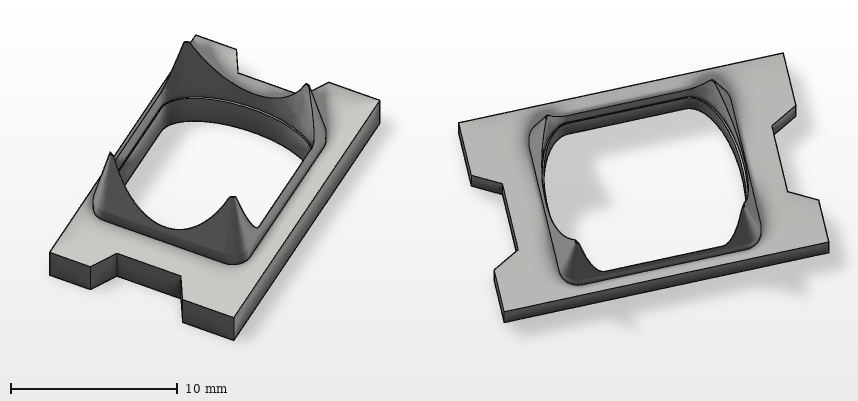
import cadquery as cq
import math

plate_left = -5.81
plate_right = 6.5
plate_length = 19.99
plate_height = 2.0

notch_mouth_width = 6.16
notch_floor_width = 4.28
notch_depth = 1.7

collar_width = 10.36
collar_length = 12.42
collar_corner_radius = 1.17
foot_height = 0.82
total_height = 6.8
crown_inset = 1.0

plate_opening_width = 10.0
plate_opening_length = 11.94
collar_opening_width = 10.14
collar_opening_length = 12.22
opening_side_length = 7.2

crown_base = plate_height + foot_height
crown_height = total_height - crown_base
crown_taper = math.degrees(math.atan2(crown_inset, crown_height))


def make_plate():
    """Flat plate with a notch in the middle of each end."""
    half_length = plate_length / 2
    floor_y = half_length - notch_depth
    plate = (
        cq.Workplane("XY")
        .moveTo(plate_left, -half_length)
        .lineTo(plate_right, -half_length)
        .lineTo(plate_right, half_length)
        .lineTo(plate_left, half_length)
        .close()
        .extrude(plate_height)
    )
    for end in (-1, 1):
        notch = (
            cq.Workplane("XY")
            .moveTo(-notch_mouth_width / 2, end * half_length)
            .lineTo(-notch_floor_width / 2, end * floor_y)
            .lineTo(notch_floor_width / 2, end * floor_y)
            .lineTo(notch_mouth_width / 2, end * half_length)
            .close()
            .extrude(plate_height)
        )
        plate = plate.cut(notch)
    return plate


def make_collar():
    """Solid collar: rounded-rectangle foot topped by a crown that tapers on all sides."""
    outline = cq.Sketch().rect(collar_width, collar_length).vertices().fillet(collar_corner_radius)
    foot = cq.Workplane("XY", origin=(0, 0, plate_height)).placeSketch(outline).extrude(foot_height)
    crown = (
        cq.Workplane("XY", origin=(0, 0, crown_base))
        .placeSketch(outline)
        .extrude(crown_height, taper=crown_taper)
    )
    return foot.union(crown)


def make_opening(width, length, height):
    """Cutter with straight sides and half-elliptical ends, standing on the XY plane."""
    end_depth = (length - opening_side_length) / 2
    cutter = cq.Workplane("XY").rect(width, opening_side_length).extrude(height)
    for end in (-1, 1):
        ellipse = (
            cq.Workplane("XY", origin=(0, end * opening_side_length / 2, 0))
            .ellipse(width / 2, end_depth)
            .extrude(height)
        )
        cutter = cutter.union(ellipse)
    return cutter


collar_opening = make_opening(collar_opening_width, collar_opening_length, total_height)
plate_opening = make_opening(plate_opening_width, plate_opening_length, plate_height)
result = make_plate().cut(plate_opening).union(make_collar().cut(collar_opening))